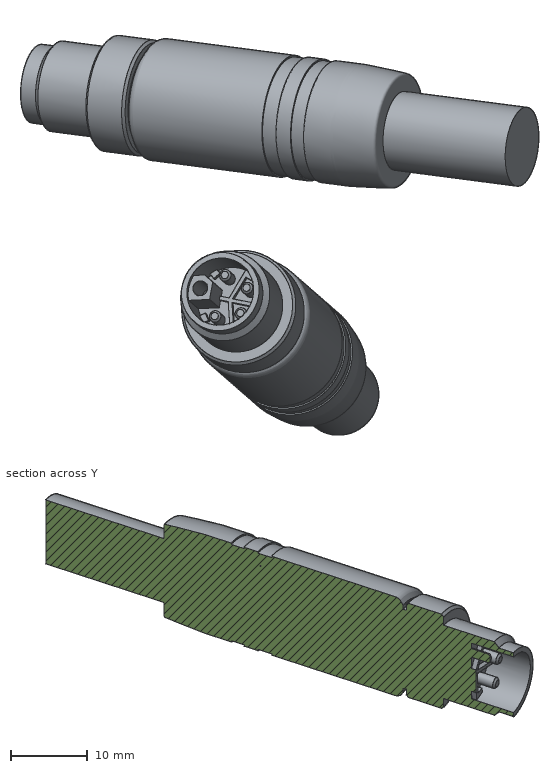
import cadquery as cq
import math


length = 69.5
tip_end = 2.15
sleeve_start = 2.85
collar_start = 10.35
collar_end = 16.0
body_start = 16.4
grip_grooves = [(35.9, 37.95), (40.0, 41.9)]
blend_start = 45.7
taper_start = 46.15
body_end = 52.0

tip_diameter = 10.35
sleeve_diameter = 11.9
collar_diameter = 15.2
neck_diameter = 12.8
body_diameter = 16.0
tip_radius = tip_diameter / 2
sleeve_radius = sleeve_diameter / 2
collar_radius = collar_diameter / 2
neck_radius = neck_diameter / 2
body_radius = body_diameter / 2
body_end_radius = 7.5
cable_radius = tip_radius
grip_groove_depth = 0.2

nose_radius = 7.0
nose_bevel = 0.4
nose_bevel_drop = 0.35
nose_length = 1.05
nose_arc_bulge = 0.3

blend_drop = 0.02
taper_bulge = 0.43

collar_chamfer = 0.35
body_rear_fillet = 0.35

bore_radius = 4.45
insert_floor = 6.25
contact_circle = 2.9
contact_count = 5
contact_pitch = 360 / contact_count
key_angle = 14.0
pin_tip = 3.5
pin_radius = 0.75
pin_chamfer = 0.3
shield_front = 5.55
shield_thickness = 0.5
wall_steps = (1.5, 2.5, 3.5)
lug_steps = (0.5, 1.5)
lug_inner_radius = 3.6
lug_reach = 1.3

boss_front = 0.7
boss_outline = [(2.1, -1.5), (-1.25, -1.5), (-1.7, 0.75), (-0.6, 1.75), (2.1, 1.75)]
boss_hole_radius = 1.0


def axial_cylinder(radius, start, end):
    """Cylinder on the X axis between two positions."""
    return cq.Workplane("YZ").workplane(offset=start).circle(radius).extrude(end - start)


def on_contact_circle(angle):
    """Y and Z of a point on the contact circle."""
    radians = math.radians(angle)
    return contact_circle * math.cos(radians), contact_circle * math.sin(radians)


def make_front():
    """Tip, chamfered sleeve and coupling collar."""
    tip = axial_cylinder(tip_radius, 0, tip_end)
    sleeve = axial_cylinder(sleeve_radius, tip_end, collar_start)
    sleeve = sleeve.faces("<X").chamfer(sleeve_start - tip_end, sleeve_radius - tip_radius)
    collar = axial_cylinder(collar_radius, collar_start, collar_end)
    collar = collar.faces("<X or >X").chamfer(collar_chamfer)
    neck = axial_cylinder(neck_radius, collar_end, body_start)
    return tip.union(sleeve).union(collar).union(neck)


def make_body():
    """Grip body with a rounded front, a curved taper at the rear and two shallow grooves."""
    nose_middle = (
        body_start + (nose_bevel + nose_length) / 2,
        body_radius - nose_arc_bulge * nose_bevel_drop,
    )
    taper_start_radius = body_radius - blend_drop
    taper_drop = taper_start_radius - body_end_radius
    taper_middle = ((taper_start + body_end) / 2, taper_start_radius - taper_bulge * taper_drop)
    profile = (
        cq.Workplane("XY")
        .moveTo(body_start, 0)
        .lineTo(body_start, nose_radius)
        .lineTo(body_start + nose_bevel, body_radius - nose_bevel_drop)
        .threePointArc(nose_middle, (body_start + nose_length, body_radius))
        .lineTo(blend_start, body_radius)
        .lineTo(taper_start, taper_start_radius)
        .threePointArc(taper_middle, (body_end, body_end_radius))
        .lineTo(body_end, 0)
        .close()
    )
    body = profile.revolve(360, (0, 0, 0), (1, 0, 0))
    body = body.faces(">X").edges().fillet(body_rear_fillet)
    groove_radius = body_radius - grip_groove_depth
    for start, end in grip_grooves:
        ring = axial_cylinder(body_diameter, start, end).cut(axial_cylinder(groove_radius, start, end))
        body = body.cut(ring)
    return body


def make_pin(index):
    """Contact pin with a chamfered tip."""
    y, z = on_contact_circle(key_angle + index * contact_pitch)
    pin = axial_cylinder(pin_radius, pin_tip, insert_floor).faces("<X").chamfer(pin_chamfer)
    return pin.translate((0, y, z))


def radial_block(angle, inner, side_start, side_end):
    """Block from the inner radius out to the bore, placed sideways from a radial line."""
    block = cq.Workplane("XY").box(
        insert_floor - shield_front, bore_radius - inner, side_end - side_start, centered=False
    )
    return block.translate((shield_front, inner, side_start)).rotate((0, 0, 0), (1, 0, 0), angle)


def make_shield():
    """Shield walls between the pins, a web to the key boss and lugs along the bore."""
    half = shield_thickness / 2
    shield = radial_block(key_angle, 0, -half, half)
    for step in wall_steps:
        shield = shield.union(radial_block(key_angle + step * contact_pitch, 0, -half, half))
    for step in lug_steps:
        offset = step * contact_pitch
        shield = shield.union(radial_block(key_angle + offset, lug_inner_radius, half, lug_reach))
        shield = shield.union(radial_block(key_angle - offset, lug_inner_radius, -lug_reach, -half))
    return shield


def make_boss():
    """Key boss with its bevelled inner corner, and the blind hole to be cut into it."""
    y, z = on_contact_circle(key_angle)
    plane = cq.Workplane("YZ", origin=(boss_front, y, z))
    depth = insert_floor - boss_front
    boss = plane.polyline(boss_outline).close().extrude(depth)
    hole = plane.circle(boss_hole_radius).extrude(depth)
    return boss, hole


shell = make_front().union(make_body()).union(axial_cylinder(cable_radius, body_end, length))
shell = shell.cut(axial_cylinder(bore_radius, 0, insert_floor))

boss, boss_hole = make_boss()
insert = make_shield().union(boss).cut(boss_hole)
for pin_index in range(1, contact_count):
    insert = insert.union(make_pin(pin_index))
insert = insert.intersect(axial_cylinder(bore_radius, 0, insert_floor))

result = shell.union(insert)